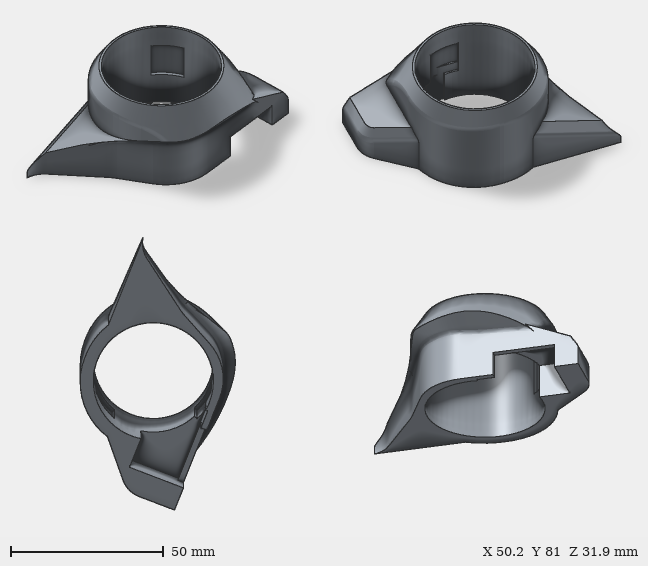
import cadquery as cq
import math

reach = 81.0
margin = 0.4

height = 31.9
bore_radius = 19.7
rim_radius = 20.5
ring_radius = 24.1
cone_slope = 0.635
shoulder_fillet = 2.7
shoulder_low = 20.25
shoulder_end_x = 19.45
left_flat_x = -23.8
left_flat_half_width = 0.77
back_y = 23.7
flank_start = (2.4, -24.0)
flank_middle = (6.5, -23.4)
flank_end = (10.5, -22.3)
flank_slope = 0.37
bulge_limit_x = 26.7

side_x = 22.3
front_left_x = -20.65
front_tip_y = -43.25
tip_arc_middle = (-19.1, -39.8)
tip_arc_end = (-16.9, -37.6)
wall_bend = (0.3, -24.95)
wall_bend_radius = 21.9
wall_corner = (side_x, -13.45)
wall_corner_radius = 18.15

front_top_point = (-17.3, -16.6, 16.4)
front_top_rise_x = 0.187
front_rise_y = 0.341
front_bevel_rise_x = 1.1
front_bevel_fillet = 2.6
lip_start_x = -7.3
lip_middle = (1.6, -25.8)
lip_end = flank_end
wing_root = (12.15, 0.0)

undercut_stations = [
    ((-12.15, -34.1, 11.35), -53.5, 0.55),
    ((1.6, -24.3, 15.7), -60.0, 0.65),
    ((10.5, -19.5, 17.25), -62.6, 1.0),
    ((19.45, -12.15, 17.8), -33.0, 0.9),
    ((side_x, -1.6, 17.3), 0.0, 1.4),
    ((side_x, 12.15, 15.9), 0.0, 1.42),
    ((side_x, 24.3, 14.75), 0.0, 1.45),
]
undercut_inside = 2.4
undercut_outside = 9.7
undercut_fillet = 2.4

rear_end_y = 37.75
rear_root = (-11.5, 17.8)
rear_root_right_y = 8.1
rear_lean = math.radians(49.4)
rear_corner_radius = 9.3
rear_top_height = 15.55
rear_top_slope = 0.43
rear_chamfer = 2.75
rear_fillet = 3.2

hollow_height = 11.7
hollow_opening_height = 8.2
hollow_left_x = 3.2
hollow_wall_x = 20.25
hollow_front_y = 2.8
opening_front_y = 8.8
hollow_back_y = 29.7

pocket_radius = 20.9
pocket_top = 24.15
pocket_bottom = hollow_height
pocket_ledge = 15.1
pocket_sweep = 31.8
pocket_starts = (-6.4, 109.0)


def vertical_edge(x, y):
    """Selector of the vertical edge at a corner of an upright prism."""
    return cq.selectors.BoxSelector((x - margin, y - margin, 0), (x + margin, y + margin, height))


def below_plane(point, rise_x, rise_y):
    """Everything below a plane through a point that rises along X and Y."""
    plane = cq.Plane(origin=point, xDir=(1, 0, rise_x), normal=(-rise_x, -rise_y, 1))
    return cq.Workplane(plane).rect(3 * reach, 3 * reach).extrude(-2 * reach)


def ring_body():
    """Ring that is round on the left and widened to the right, under a conical top."""
    diagonal = ring_radius * math.sqrt(0.5)
    circle_angle = math.asin(flank_start[0] / ring_radius) / 2
    circle_middle = (ring_radius * math.sin(circle_angle), -ring_radius * math.cos(circle_angle))
    flank_far_y = flank_end[1] + flank_slope * (bulge_limit_x - flank_end[0])
    upright = (
        cq.Workplane("XY")
        .moveTo(0, back_y)
        .threePointArc((-diagonal, diagonal), (left_flat_x, left_flat_half_width))
        .lineTo(left_flat_x, -left_flat_half_width)
        .threePointArc((-diagonal, -diagonal), (0, -ring_radius))
        .threePointArc(circle_middle, flank_start)
        .threePointArc(flank_middle, flank_end)
        .lineTo(bulge_limit_x, flank_far_y)
        .lineTo(bulge_limit_x, back_y)
        .close()
        .extrude(height)
    )
    cone = (
        cq.Workplane("XZ")
        .lineTo(rim_radius + cone_slope * height, 0)
        .lineTo(rim_radius, height)
        .lineTo(0, height)
        .close()
        .revolve(360, (0, 0, 0), (0, 1, 0))
    )
    shoulder = cq.selectors.BoxSelector(
        (-reach, -reach, shoulder_low),
        (shoulder_end_x, reach, height - margin),
    )
    return upright.intersect(cone).edges("not |Z").edges(shoulder).fillet(shoulder_fillet)


def wall_y(x):
    """Y of the straight front wall between the tip arc and the bend."""
    slope = (wall_bend[1] - tip_arc_end[1]) / (wall_bend[0] - tip_arc_end[0])
    return tip_arc_end[1] + slope * (x - tip_arc_end[0])


def front_wing():
    """Wing that points towards -Y, its lip curving outwards from the wall to the ring's flank."""
    upright = (
        cq.Workplane("XY")
        .moveTo(front_left_x, 0)
        .lineTo(front_left_x, front_tip_y)
        .threePointArc(tip_arc_middle, tip_arc_end)
        .lineTo(lip_start_x, wall_y(lip_start_x))
        .threePointArc(lip_middle, lip_end)
        .lineTo(*wing_root)
        .close()
        .extrude(height)
    )
    top = below_plane(front_top_point, front_top_rise_x, front_rise_y)
    bevel = below_plane(front_top_point, front_bevel_rise_x, front_rise_y)
    bevel_foot = cq.selectors.BoxSelector(
        (front_left_x - margin, front_tip_y + margin, margin),
        (front_left_x + margin, -margin, height),
    )
    return upright.intersect(top).intersect(bevel).edges(bevel_foot).fillet(front_bevel_fillet)


def lower_wall():
    """Prism bounded by the wall that runs from the front tip round to the flat +X side."""
    return (
        cq.Workplane("XY")
        .moveTo(-reach, front_tip_y)
        .lineTo(front_left_x, front_tip_y)
        .threePointArc(tip_arc_middle, tip_arc_end)
        .lineTo(*wall_bend)
        .lineTo(*wall_corner)
        .lineTo(side_x, reach)
        .lineTo(-reach, reach)
        .close()
        .extrude(height)
        .edges(vertical_edge(*wall_bend))
        .fillet(wall_bend_radius)
        .edges(vertical_edge(*wall_corner))
        .fillet(wall_corner_radius)
    )


def undercut_edge(run):
    """Curve through all undercut stations at a given outward distance from the wall."""
    points = []
    for (x, y, z), direction, rise in undercut_stations:
        angle = math.radians(direction)
        points.append(cq.Vector(x + run * math.cos(angle), y + run * math.sin(angle), z + run * rise))
    return cq.Edge.makeSpline(points)


def undercut():
    """Space below the overhanging bulge and outside the wall, rounded where the two meet."""
    slope = cq.Face.makeRuledSurface(undercut_edge(-undercut_inside), undercut_edge(undercut_outside))
    first_foot = undercut_stations[0][0]
    last_foot = undercut_stations[-1][0]
    foot_peak_z = max(foot[2] for foot, direction, rise in undercut_stations)
    space = cq.Solid.extrudeLinear(slope, cq.Vector(0, 0, -height))
    foot = cq.selectors.BoxSelector(
        first_foot,
        (side_x + margin, last_foot[1] - margin, foot_peak_z + margin),
    )
    return cq.Workplane(space).cut(lower_wall()).edges("not |Z").edges(foot).fillet(undercut_fillet)


def rear_wing():
    """Wing that points towards +Y, with one leaning side and one side flush with the +X wall."""
    root_x, root_y = rear_root
    corner_x = root_x + (rear_end_y - root_y) / math.tan(rear_lean)
    upright = (
        cq.Workplane("XY")
        .moveTo(root_x, root_y)
        .lineTo(corner_x, rear_end_y)
        .lineTo(side_x, rear_end_y)
        .lineTo(side_x, rear_root_right_y)
        .lineTo(root_x, rear_root_right_y)
        .close()
        .extrude(height)
        .edges(vertical_edge(corner_x, rear_end_y))
        .fillet(rear_corner_radius)
    )
    wing = upright.intersect(below_plane((0, back_y, rear_top_height), 0, -rear_top_slope))
    top = wing.faces(cq.selectors.DirectionMinMaxSelector(cq.Vector(0, rear_top_slope, 1)))
    rim_box = cq.selectors.BoxSelector(
        (root_x + margin, rear_root_right_y + margin, 0),
        (side_x - margin, reach, height),
    )
    rim = top.edges(rim_box)
    wing = rim.chamfer(rear_chamfer)
    chamfer_foot = cq.selectors.BoxSelector(
        (corner_x, rear_end_y - margin, margin),
        (side_x - margin, rear_end_y + margin, height),
    )
    return wing.edges(chamfer_foot).fillet(rear_fillet)


def block(low, high):
    """Box between two opposite corners."""
    size = [b - a for a, b in zip(low, high)]
    return cq.Workplane("XY").box(*size, centered=False).translate(low)


def hollow():
    """Room under the rear wing and its lower opening through the +X wall."""
    room = block((hollow_left_x, hollow_front_y, 0), (hollow_wall_x, hollow_back_y, hollow_height))
    opening = block((hollow_left_x, opening_front_y, 0), (reach, hollow_back_y, hollow_opening_height))
    return room.union(opening)


def pocket(start_angle):
    """Shallow cylindrical pocket in the bore, as a sector of a disc, with a ledge on the +X side."""
    start = math.radians(start_angle)
    middle = math.radians(start_angle + pocket_sweep / 2)
    end = math.radians(start_angle + pocket_sweep)
    rim = [(pocket_radius * math.cos(a), pocket_radius * math.sin(a)) for a in (start, middle, end)]
    sector = (
        cq.Workplane("XY", origin=(0, 0, pocket_bottom))
        .lineTo(*rim[0])
        .threePointArc(rim[1], rim[2])
        .close()
        .extrude(pocket_top - pocket_bottom)
    )
    return sector.cut(block((hollow_wall_x, -reach, 0), (reach, reach, pocket_ledge)))


result = ring_body().union(front_wing()).clean()
result = result.cut(undercut())
result = result.union(rear_wing())
result = result.cut(cq.Workplane("XY").circle(bore_radius).extrude(height))
for pocket_start in pocket_starts:
    result = result.cut(pocket(pocket_start))
result = result.cut(hollow())